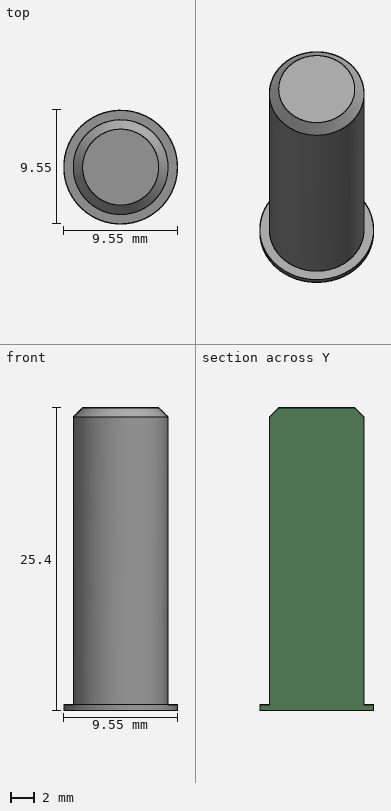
import cadquery as cq

total_height = 25.4

flange_diameter = 9.55
flange_thickness = 0.5

shank_diameter = 7.95
tip_chamfer = 0.8


def make_flange():
    """Thin disc with its underside on Z = 0."""
    return cq.Workplane("XY").circle(flange_diameter / 2).extrude(flange_thickness)


def make_shank():
    """Full-height cylinder with a 45 degree chamfer around its top edge."""
    shank = cq.Workplane("XY").circle(shank_diameter / 2).extrude(total_height)
    return shank.faces(">Z").edges().chamfer(tip_chamfer)


result = make_flange().union(make_shank())